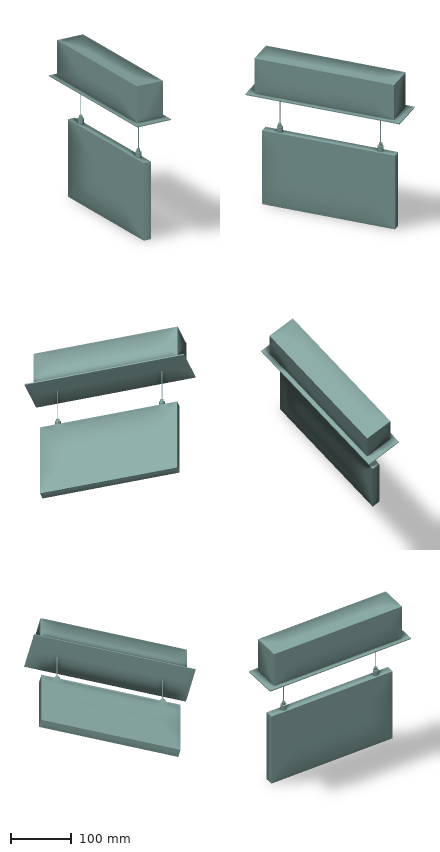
import cadquery as cq

overall_height = 278.5

housing_length = 249.5
housing_width = 50.0
housing_height = 65.0
trim_length = 275.5
trim_width = 65.0
trim_thickness = 2.0

panel_length = 237.0
panel_thickness = 14.5
panel_height = 137.0
panel_offset_y = -0.85

cable_spacing = 180.0
cable_diameter = 1.5
ferrule_diameter = 10.0
ferrule_height = 10.0
collar_diameter = 6.0
collar_height = 5.0

panel_top = panel_height
ferrule_top = panel_top + ferrule_height
collar_top = ferrule_top + collar_height
housing_bottom = overall_height - housing_height
trim_bottom = housing_bottom - trim_thickness


def block(length, width, height, bottom, center_y=0.0):
    """Box centred in X, with its base at the given level."""
    return cq.Workplane("XY", origin=(0, center_y, bottom)).box(
        length, width, height, centered=(True, True, False)
    )


def rod(diameter, bottom, top, center_x):
    """Upright cylinder in the panel's mid-plane, between two levels."""
    base = cq.Workplane("XY", origin=(center_x, panel_offset_y, bottom))
    return base.circle(diameter / 2).extrude(top - bottom)


def suspension(center_x):
    """Ferrule, collar and cable joining the panel to the trim plate."""
    ferrule = rod(ferrule_diameter, panel_top, ferrule_top, center_x)
    collar = rod(collar_diameter, ferrule_top, collar_top, center_x)
    cable = rod(cable_diameter, collar_top, trim_bottom, center_x)
    return ferrule.union(collar).union(cable)


housing = block(housing_length, housing_width, housing_height, housing_bottom)
trim_plate = block(trim_length, trim_width, trim_thickness, trim_bottom)
panel = block(panel_length, panel_thickness, panel_height, 0.0, panel_offset_y)

result = housing.union(trim_plate).union(panel)
for side in (-1, 1):
    result = result.union(suspension(side * cable_spacing / 2))